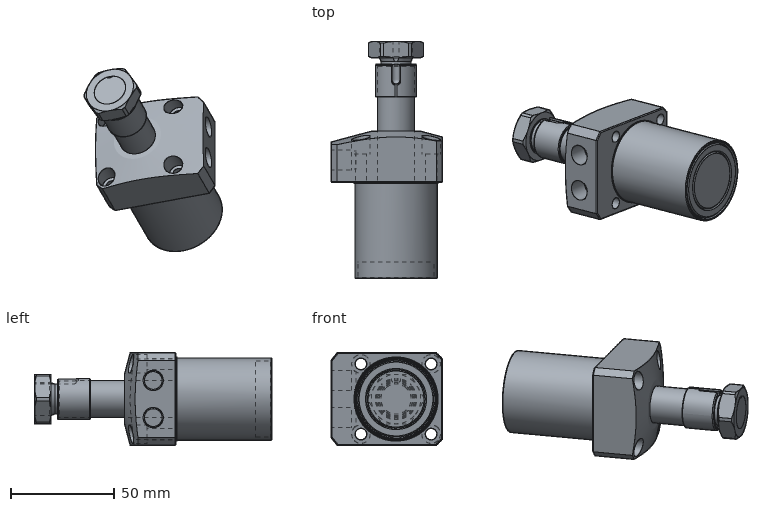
import cadquery as cq
import math


flange_height = 45.0
flange_left = 31.5
flange_right = 22.5
flange_thickness = 25.0
corner_run = 3.0
left_corner_rise = 3.8
right_corner_rise = 3.0
back_edge_chamfer = 0.5
front_flat_radius = 12.0
front_slope = math.radians(15.0)
mount_hole_dia = 5.5
mount_hole_offset = 17.0
counterbore_dia = 9.0
counterbore_floor = 14.0

port_dia = 9.8
port_depth = 10.0
port_drill_dia = 8.6
port_drill_depth = 12.0
port_offset = 9.0
port_y = 11.0

barrel_radius = 20.0
barrel_length = 46.5
barrel_chamfer = 0.4
collar_radius = 20.4
collar_length = 0.4

cap_radius = 18.5
cap_thickness = 8.0
joint_chamfer = 0.6
cap_groove_radius = 14.2
cap_groove_half_width = 0.6

rod_radius = 9.0
rod_shoulder_chamfer = 0.8
neck_radius = 7.3
neck_straight_length = 1.15
stud_radius = 8.0

sleeve_radius = 10.0
sleeve_length = 16.0
sleeve_gap = 16.5
sleeve_front_chamfer = 0.6
sleeve_front_chamfer_radial = 0.4
sleeve_back_chamfer = 0.4
shoulder_setback = 0.3
split_width = 1.0
slot_width = 4.5
slot_length = 8.0

key_groove_radius = 1.9
key_groove_height = 9.15
key_groove_length = 7.7

nut_across_flats = 24.0
nut_turned_radius = 13.4
nut_height = 8.0
nut_gap = 3.0
nut_countersink = 0.8
nut_corner_slope = math.radians(30.0)

barrel_end = -barrel_length
cap_front = barrel_end + cap_thickness
sleeve_start = flange_thickness + sleeve_gap
sleeve_end = sleeve_start + sleeve_length
shoulder_y = sleeve_end - shoulder_setback
nut_start = sleeve_end + nut_gap
nut_end = nut_start + nut_height
key_groove_end = sleeve_end - key_groove_length
slot_center = sleeve_end - slot_length


def revolve_profile(points):
    """Turn a closed (radius, y) outline around the Y axis."""
    return cq.Workplane("XY").polyline(points).close().revolve(360, (0, 0, 0), (0, 1, 0))


def cylinder_y(radius, start, end, x=0.0, z=0.0):
    """Cylinder parallel to Y between two y positions."""
    direction = cq.Vector(0, 1, 0)
    return cq.Workplane(cq.Solid.makeCylinder(radius, end - start, cq.Vector(x, start, z), direction))


def make_flange():
    top = flange_height / 2
    outline = [
        (-flange_left, top - left_corner_rise),
        (-flange_left + corner_run, top),
        (flange_right - corner_run, top),
        (flange_right, top - right_corner_rise),
        (flange_right, -top + right_corner_rise),
        (flange_right - corner_run, -top),
        (-flange_left + corner_run, -top),
        (-flange_left, -top + left_corner_rise),
    ]
    block = cq.Workplane("XZ").polyline(outline).close().extrude(-flange_thickness)
    block = block.faces("<Y").chamfer(back_edge_chamfer)

    reach = math.hypot(flange_left, flange_height)
    drop = (reach - front_flat_radius) * math.tan(front_slope)
    front_cone = revolve_profile([
        (0, 0),
        (reach, 0),
        (reach, flange_thickness - drop),
        (front_flat_radius, flange_thickness),
        (0, flange_thickness),
    ])
    return block.intersect(front_cone)


def make_barrel():
    return revolve_profile([
        (0, 0),
        (collar_radius, 0),
        (collar_radius, -collar_length),
        (barrel_radius, -collar_length),
        (barrel_radius, barrel_end + barrel_chamfer),
        (barrel_radius - barrel_chamfer, barrel_end),
        (0, barrel_end),
    ])


def make_port(z):
    """Stepped port bore entering from the -X side."""
    mouth = cq.Workplane("YZ", origin=(-flange_left, port_y, z))
    bore = mouth.circle(port_dia / 2).extrude(port_depth)
    drill = mouth.circle(port_drill_dia / 2).extrude(port_drill_depth)
    return bore.union(drill)


def make_housing():
    body = make_flange().union(make_barrel())
    for x in (-mount_hole_offset, mount_hole_offset):
        for z in (-mount_hole_offset, mount_hole_offset):
            body = body.cut(cylinder_y(mount_hole_dia / 2, 0, flange_thickness, x, z))
            counterbore = cylinder_y(counterbore_dia / 2, counterbore_floor, flange_thickness, x, z)
            body = body.cut(counterbore)
    for z in (-port_offset, port_offset):
        body = body.cut(make_port(z))
    body = body.cut(cylinder_y(rod_radius, 0, flange_thickness))
    cap_seat = revolve_profile([
        (0, barrel_end),
        (cap_radius + joint_chamfer, barrel_end),
        (cap_radius, barrel_end + joint_chamfer),
        (cap_radius, cap_front),
        (0, cap_front),
    ])
    return body.cut(cap_seat)


def make_end_cap():
    """Disc with a chamfered rim and a V groove in its outer face."""
    return revolve_profile([
        (0, barrel_end),
        (cap_groove_radius - cap_groove_half_width, barrel_end),
        (cap_groove_radius, barrel_end + cap_groove_half_width),
        (cap_groove_radius + cap_groove_half_width, barrel_end),
        (cap_radius - joint_chamfer, barrel_end),
        (cap_radius, barrel_end + joint_chamfer),
        (cap_radius, cap_front),
        (0, cap_front),
    ])


def make_rod():
    body = revolve_profile([
        (0, 0),
        (rod_radius, 0),
        (rod_radius, shoulder_y - rod_shoulder_chamfer),
        (rod_radius - rod_shoulder_chamfer, shoulder_y),
        (neck_radius, shoulder_y),
        (neck_radius, sleeve_end + neck_straight_length),
        (stud_radius, nut_start),
        (stud_radius, nut_end),
        (0, nut_end),
    ])
    groove = cylinder_y(key_groove_radius, key_groove_end, nut_end, z=key_groove_height)
    groove_tip = cq.Workplane("XY").sphere(key_groove_radius)
    groove_tip = groove_tip.translate((0, key_groove_end, key_groove_height))
    return body.cut(groove).cut(groove_tip)


def make_sleeve():
    """Ring split along its top, with a round-ended slot open at the front."""
    body = revolve_profile([
        (rod_radius, sleeve_start),
        (sleeve_radius - sleeve_back_chamfer, sleeve_start),
        (sleeve_radius, sleeve_start + sleeve_back_chamfer),
        (sleeve_radius, sleeve_end - sleeve_front_chamfer),
        (sleeve_radius - sleeve_front_chamfer_radial, sleeve_end),
        (rod_radius, sleeve_end),
    ])
    split = cq.Workplane("XY").rect(split_width, sleeve_length).extrude(sleeve_radius)
    split = split.translate((0, (sleeve_start + sleeve_end) / 2, 0))
    slot = cq.Workplane("XY").center(0, slot_center).circle(slot_width / 2).extrude(sleeve_radius)
    slot_mouth = cq.Workplane("XY").center(0, (slot_center + sleeve_end) / 2)
    slot_mouth = slot_mouth.rect(slot_width, slot_length).extrude(sleeve_radius)
    return body.cut(split).cut(slot).cut(slot_mouth)


def make_nut():
    """Hexagon with flats facing +Z and -Z and its corners turned off at both ends, countersunk behind."""
    across_corners = nut_across_flats / math.cos(math.pi / 6)
    hexagon = cq.Workplane("XZ").polygon(6, across_corners).extrude(-nut_height)
    hexagon = hexagon.translate((0, nut_start, 0))
    face_radius = nut_across_flats / 2
    corner_drop = (nut_turned_radius - face_radius) * math.tan(nut_corner_slope)
    turned_shape = revolve_profile([
        (stud_radius, nut_start + nut_countersink),
        (stud_radius + nut_countersink, nut_start),
        (face_radius, nut_start),
        (nut_turned_radius, nut_start + corner_drop),
        (nut_turned_radius, nut_end - corner_drop),
        (face_radius, nut_end),
        (stud_radius, nut_end),
    ])
    return hexagon.intersect(turned_shape)


housing = make_housing()
end_cap = make_end_cap()
rod = make_rod()
sleeve = make_sleeve()
nut = make_nut()

result = cq.Compound.makeCompound([
    housing.val(),
    end_cap.val(),
    rod.val(),
    sleeve.val(),
    nut.val(),
])